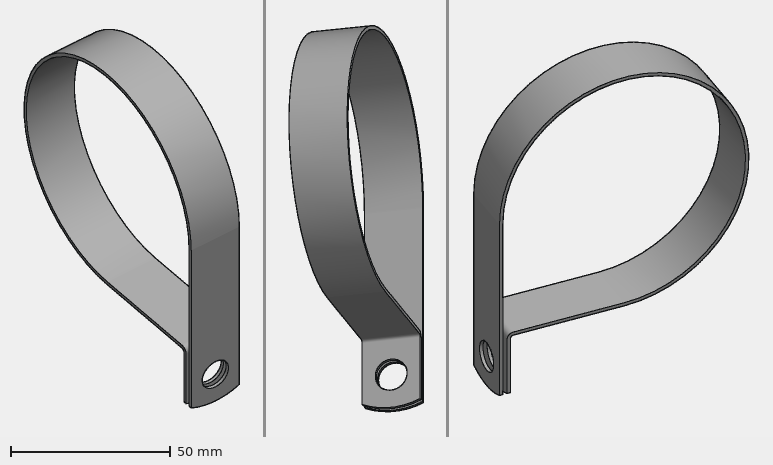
import cadquery as cq
import math

total_height = 109.9
outer_diameter = 86.5
strap_width = 19.0
thickness = 1.2
leg_gap = 1.4
bend_inner_radius = 1.0
hole_diameter = 10.3
hole_height = 11.0
end_sag = 2.0

outer_radius = outer_diameter / 2
inner_radius = outer_radius - thickness
loop_z = total_height - outer_radius
floor_z = loop_z - outer_radius
bend_outer_radius = bend_inner_radius + thickness
short_leg_outer_x = inner_radius - leg_gap
bend_x = short_leg_outer_x - bend_outer_radius
bend_z = floor_z - bend_inner_radius
half_width = strap_width / 2


diagonal = math.sqrt(0.5)


def make_strap():
    """Bent strip: long leg, three-quarter loop, flat floor and short leg."""
    return (
        cq.Workplane("XZ")
        .moveTo(outer_radius, 0)
        .lineTo(outer_radius, loop_z)
        .threePointArc(
            (-outer_radius * diagonal, loop_z + outer_radius * diagonal),
            (0, floor_z),
        )
        .lineTo(bend_x, floor_z)
        .threePointArc(
            (bend_x + bend_inner_radius * diagonal, bend_z + bend_inner_radius * diagonal),
            (bend_x + bend_inner_radius, bend_z),
        )
        .lineTo(bend_x + bend_inner_radius, 0)
        .lineTo(short_leg_outer_x, 0)
        .lineTo(short_leg_outer_x, bend_z)
        .threePointArc(
            (bend_x + bend_outer_radius * diagonal, bend_z + bend_outer_radius * diagonal),
            (bend_x, floor_z + thickness),
        )
        .lineTo(0, floor_z + thickness)
        .threePointArc(
            (-inner_radius * diagonal, loop_z + inner_radius * diagonal),
            (inner_radius, loop_z),
        )
        .lineTo(inner_radius, 0)
        .close()
        .extrude(half_width, both=True)
    )


def make_side_envelope():
    """Block whose YZ outline carries the rounded lower end of the legs."""
    return (
        cq.Workplane("YZ")
        .moveTo(-half_width, total_height)
        .lineTo(-half_width, end_sag)
        .threePointArc((0, 0), (half_width, end_sag))
        .lineTo(half_width, total_height)
        .close()
        .extrude(outer_diameter, both=True)
    )


def make_bolt_hole():
    """Cylinder along X that passes through both legs."""
    return (
        cq.Workplane("YZ")
        .center(0, hole_height)
        .circle(hole_diameter / 2)
        .extrude(outer_diameter)
    )


result = make_strap().intersect(make_side_envelope()).cut(make_bolt_hole())